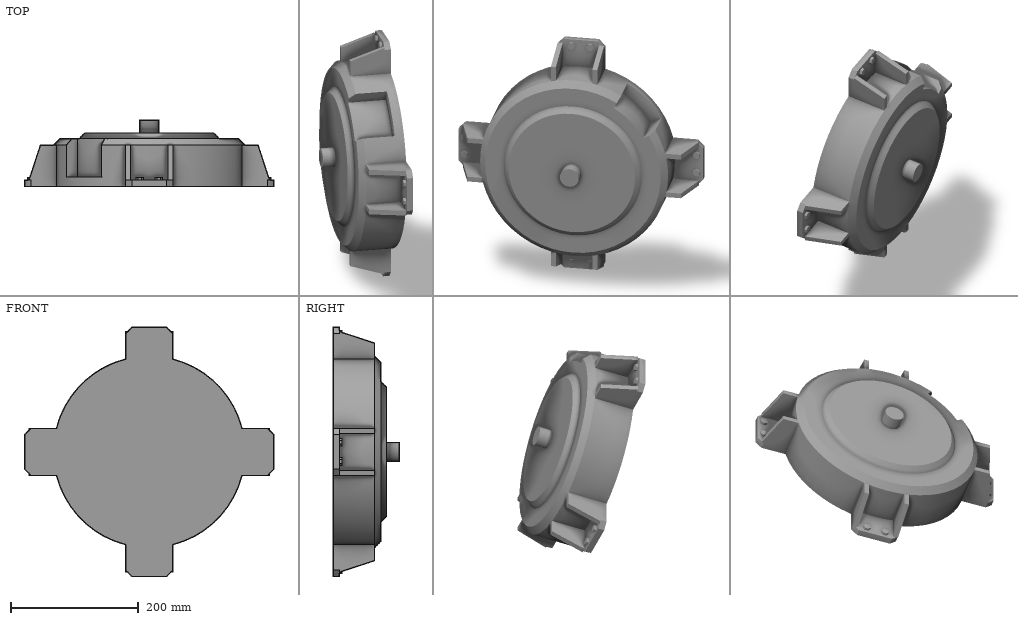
import cadquery as cq
import math

HUB_RADIUS = 150.0
HUB_WALL_HEIGHT = 65.0
HUB_CHAMFER = 10.0
COVER_RADIUS = 110.0
COVER_HEIGHT = 9.0
COVER_CHAMFER = 9.0
SHAFT_RADIUS = 15.0
TOTAL_HEIGHT = 104.0

FOOT_COUNT = 4
FOOT_SPAN = 390.47
FOOT_WIDTH = 74.0
FOOT_THICKNESS = 10.0
FOOT_CORNER_CHAMFER = 10.0
GUSSET_THICKNESS = 8.0
GUSSET_TOP_REACH = 170.5
GUSSET_TOE_REACH = 188.5

BOLT_HEAD_ACROSS_CORNERS = 12.0
BOLT_HEAD_HEIGHT = 4.0
BOLT_SPACING = 30.0
BOLT_REACH = 185.2

RECESS_FLOOR_RADIUS = 130.0
RECESS_BOTTOM_HEIGHT = 15.0
RECESS_HALF_ANGLE = 15.0
RECESS_DIRECTION = 135.0

HUB_HEIGHT = HUB_WALL_HEIGHT + HUB_CHAMFER
COVER_TOP = HUB_HEIGHT + COVER_HEIGHT
FOOT_REACH = FOOT_SPAN / 2


def make_body():
    """Revolve the hub, cover and shaft profile about the Y axis."""
    profile = [
        (0, 0),
        (HUB_RADIUS, 0),
        (HUB_RADIUS, HUB_WALL_HEIGHT),
        (HUB_RADIUS - HUB_CHAMFER, HUB_HEIGHT),
        (COVER_RADIUS, HUB_HEIGHT),
        (COVER_RADIUS - COVER_CHAMFER, COVER_TOP),
        (SHAFT_RADIUS, COVER_TOP),
        (SHAFT_RADIUS, TOTAL_HEIGHT),
        (0, TOTAL_HEIGHT),
    ]
    return cq.Workplane("ZY").polyline(profile).close().revolve(360, (0, 0, 0), (0, 1, 0))


def make_recess_cutter():
    """Annular sector that opens through the outer wall and the top of the rim."""

    def polar(radius, angle):
        turn = math.radians(angle)
        return (radius * math.cos(turn), radius * math.sin(turn))

    start = RECESS_DIRECTION - RECESS_HALF_ANGLE
    end = RECESS_DIRECTION + RECESS_HALF_ANGLE
    outer_radius = HUB_RADIUS + HUB_CHAMFER
    return (
        cq.Workplane("XZ", origin=(0, RECESS_BOTTOM_HEIGHT, 0))
        .moveTo(*polar(RECESS_FLOOR_RADIUS, start))
        .lineTo(*polar(outer_radius, start))
        .threePointArc(polar(outer_radius, RECESS_DIRECTION), polar(outer_radius, end))
        .lineTo(*polar(RECESS_FLOOR_RADIUS, end))
        .threePointArc(polar(RECESS_FLOOR_RADIUS, RECESS_DIRECTION), polar(RECESS_FLOOR_RADIUS, start))
        .close()
        .extrude(-(HUB_HEIGHT - RECESS_BOTTOM_HEIGHT))
    )


def make_bolt_heads():
    """The pair of bolt heads standing on the foot that points along +X."""
    corner_radius = BOLT_HEAD_ACROSS_CORNERS / 2
    hexagon = [
        (
            BOLT_REACH + corner_radius * math.cos(math.radians(angle)),
            corner_radius * math.sin(math.radians(angle)),
        )
        for angle in range(30, 390, 60)
    ]
    head = (
        cq.Workplane("XZ", origin=(0, FOOT_THICKNESS, BOLT_SPACING / 2))
        .polyline(hexagon)
        .close()
        .extrude(-BOLT_HEAD_HEIGHT)
    )
    return head.union(head.mirror("XY"))


def make_foot():
    """One foot pointing along +X: a plate, a pair of sloped gussets and two bolt heads."""
    root = COVER_RADIUS
    plate = (
        cq.Workplane("XY")
        .box(FOOT_REACH - root, FOOT_THICKNESS, FOOT_WIDTH, centered=(False, False, True))
        .translate((root, 0, 0))
        .edges("|Y and >X")
        .chamfer(FOOT_CORNER_CHAMFER)
    )
    gusset_profile = [
        (root, FOOT_THICKNESS),
        (root, HUB_WALL_HEIGHT),
        (GUSSET_TOP_REACH, HUB_WALL_HEIGHT),
        (GUSSET_TOE_REACH, FOOT_THICKNESS),
    ]
    gusset = (
        cq.Workplane("XY", origin=(0, 0, FOOT_WIDTH / 2 - GUSSET_THICKNESS))
        .polyline(gusset_profile)
        .close()
        .extrude(GUSSET_THICKNESS)
    )
    return plate.union(gusset).union(gusset.mirror("XY")).union(make_bolt_heads())


body = make_body()
foot = make_foot()
for index in range(FOOT_COUNT):
    body = body.union(foot.rotate((0, 0, 0), (0, 1, 0), index * 360 / FOOT_COUNT))

result = body.cut(make_recess_cutter())